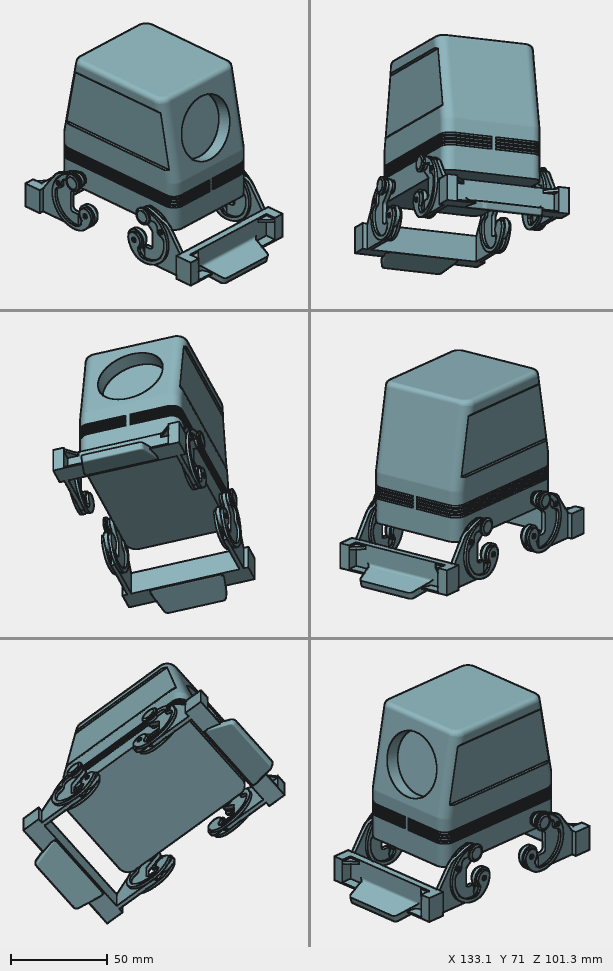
import cadquery as cq
import math

LENGTH = 133.1
HEIGHT = 101.3
PIN_END_Y = 35.5

HOOD_HALF_X = 41.0
HOOD_HALF_Y = 28.0
HOOD_BOTTOM = 26.2
TAPER_START = 54.2
TAPER_ANGLE = 10.8
BREAK_RADIUS = 4.0
CORNER_RADIUS = 5.9
TOP_RADIUS = 2.9

FLAT_DEPTH = 0.8
FLAT_BOTTOM = 61.0
FLAT_TOP = 94.1

GROOVE_COUNT = 4
GROOVE_RADIUS = 0.5
GROOVE_PITCH = 1.9
LOWEST_GROOVE = 40.2
GROOVE_GAP = 2.7

ENTRY_RADIUS = 17.8
ENTRY_CENTER_Z = 75.6
ENTRY_DEPTH = 8.0

LAYER_MIDDLE_Y = 30.9
PLATE_THICKNESS = 2.3
PLATE_CORNER_RADIUS = 2.0
OPENING_TOE_X = -23.7
OPENING_BACK_X = -29.1
OPENING_BOTTOM = 12.8
OPENING_TOP = 24.1
PLATE_SHOULDER = (-39.5, 31.1)
PLATE_SHOULDER_RADIUS = 5.3
HOOK_THICKNESS = 5.2
HOOK_OUTER_FACE = LAYER_MIDDLE_Y + HOOK_THICKNESS / 2
HOOK_CENTER = (-25.2, 19.8)
HOOK_RADIUS = 15.8
HOOK_BAND = 2.1
HOOK_INNER_RADIUS = HOOK_RADIUS - HOOK_BAND
HOOK_OUTER_END = 287.0
HOOK_INNER_START = 172.0
HOOK_INNER_END = 277.0
NECK_OUTER_MIDDLE = (-15.8, 8.4)
NECK_INNER_MIDDLE = (-20.8, 8.5)
NECK_INNER_END = (-20.1, 10.9)
ARM_UNDERSIDE = 31.1
SWELL_LOWER_ARC = ((-37.8, 23.5), (-36.2, 24.5))
SWELL_UPPER_ARC = ((-34.7, 25.3), (-34.0, 27.0))
SWELL_TOP = (-34.0, 28.2)
ARM_CORNER_ARC = ((-33.4, 30.1), (-31.7, ARM_UNDERSIDE))

ROLLER_CENTER = (-17.4, 14.8)
ROLLER_RADIUS = 5.5
ROLLER_CHEEK_RADIUS = 4.3
CHEEK_OUTER_ANGLE = -20.0
CHEEK_INNER_ANGLE = 215.0

PIVOT_CENTER = (-25.0, 32.5)
PLATE_BOSS_RADIUS = 3.9
PLATE_UPPER_TANGENT = 110.0
PLATE_LOWER_TANGENT = -51.0
HOOK_BOSS_RADIUS = 3.5
PIN_RADIUS = 2.7
PIN_HEAD_RADIUS = 4.7
PIN_HEAD_THICKNESS = 1.5
PIN_HEAD_BEVEL = (0.5, 1.2)
RIVET_CENTER = (-36.6, 27.0)
RIVET_RADIUS = 1.3
RIVET_HEIGHT = 0.5
RIVET_BEVEL = 0.4

BAR_OUTER_X = -59.1
BAR_INNER_X = -48.8
BAR_HALF_Y = 34.6
BAR_BOTTOM = 4.4
BAR_TOP = 18.2
POCKET_HALF_Y = 28.7
POCKET_DEPTH = 6.0
POCKET_FLOOR = 0.8
POCKET_FLOOR_Z = BAR_BOTTOM + POCKET_FLOOR
POCKET_WALL_X = BAR_OUTER_X + POCKET_DEPTH
GUSSET_WIDTH = 6.3
GUSSET_BOTTOM = 15.7
GUSSET_TOP = 17.3

HANDLE_ANGLE = 15.0
HANDLE_THICKNESS = 4.1
HANDLE_OVERLAP = 2.7
HANDLE_ROOT_HALF_Y = 20.1
HANDLE_TIP_HALF_Y = 16.6
HANDLE_CORNER_RADIUS = 2.4
HANDLE_ROOT_RADIUS = 1.6
HANDLE_RIM_RADIUS = 0.8

SELECT_MARGIN = 0.1


def polar(center, radius, degrees):
    """Point on a circle in the XZ plane, with the angle measured from +X towards +Z."""
    angle = math.radians(degrees)
    return (center[0] + radius * math.cos(angle), center[1] + radius * math.sin(angle))


def front_plane(y):
    """XZ workplane at the given Y whose extrusions run towards -Y."""
    return cq.Workplane("XZ", origin=(0, y, 0))


def layer(center, radius, thickness):
    """Disc lying across the side plate, centred on the plate thickness."""
    face_y = -LAYER_MIDDLE_Y + thickness / 2
    return front_plane(face_y).center(*center).circle(radius).extrude(thickness)


def box_between(low, high):
    """Box spanning two opposite corners."""
    size = [b - a for a, b in zip(low, high)]
    return cq.Workplane("XY").box(*size, centered=False).translate(low)


def make_hood_block():
    """Upright walls, tapered upper part and rounded edges."""
    top_half_x = HOOD_HALF_X - (HEIGHT - TAPER_START) * math.tan(math.radians(TAPER_ANGLE))
    outline = [
        (-HOOD_HALF_X, HOOD_BOTTOM),
        (HOOD_HALF_X, HOOD_BOTTOM),
        (HOOD_HALF_X, TAPER_START),
        (top_half_x, HEIGHT),
        (-top_half_x, HEIGHT),
        (-HOOD_HALF_X, TAPER_START),
    ]
    block = front_plane(HOOD_HALF_Y).polyline(outline).close().extrude(2 * HOOD_HALF_Y)
    break_edges = cq.selectors.BoxSelector(
        (-LENGTH, -LENGTH, TAPER_START - SELECT_MARGIN),
        (LENGTH, LENGTH, TAPER_START + SELECT_MARGIN),
    )
    block = block.edges("|Y").edges(break_edges).fillet(BREAK_RADIUS)
    block = block.faces("<Y or >Y").edges("not(#Z)").fillet(CORNER_RADIUS)
    return block.faces(">Z").edges().fillet(TOP_RADIUS)


def make_side_flat():
    """Bevelled cutter for the flat on the -Y side of the hood."""
    floor_y = -HOOD_HALF_Y + FLAT_DEPTH
    outline = [
        (-HOOD_HALF_Y, FLAT_BOTTOM),
        (floor_y, FLAT_BOTTOM + FLAT_DEPTH),
        (floor_y, FLAT_TOP - FLAT_DEPTH),
        (-HOOD_HALF_Y, FLAT_TOP),
    ]
    return cq.Workplane("YZ").polyline(outline).close().extrude(HOOD_HALF_X, both=True)


def make_groove(z):
    """Round-bottomed groove around the -Y half of the hood, stopping short at the end faces."""
    start_y = -GROOVE_GAP / 2
    corner_x = HOOD_HALF_X - CORNER_RADIUS
    corner_y = -HOOD_HALF_Y + CORNER_RADIUS
    diagonal = CORNER_RADIUS * math.sqrt(0.5)
    path = (
        cq.Workplane("XY", origin=(0, 0, z))
        .moveTo(-HOOD_HALF_X, start_y)
        .lineTo(-HOOD_HALF_X, corner_y)
        .threePointArc((-corner_x - diagonal, corner_y - diagonal), (-corner_x, -HOOD_HALF_Y))
        .lineTo(corner_x, -HOOD_HALF_Y)
        .threePointArc((corner_x + diagonal, corner_y - diagonal), (HOOD_HALF_X, corner_y))
        .lineTo(HOOD_HALF_X, start_y)
    )
    section = cq.Workplane("XZ", origin=(-HOOD_HALF_X, start_y, z)).circle(GROOVE_RADIUS)
    return section.sweep(path)


def make_cable_entry():
    """Blind round hole square to the +X sloping face."""
    angle = math.radians(TAPER_ANGLE)
    center_x = HOOD_HALF_X - (ENTRY_CENTER_Z - TAPER_START) * math.tan(angle)
    outward = cq.Vector(math.cos(angle), 0, math.sin(angle))
    center = cq.Vector(center_x, 0, ENTRY_CENTER_Z)
    start = center - outward * ENTRY_DEPTH
    return cq.Workplane(cq.Solid.makeCylinder(ENTRY_RADIUS, 2 * ENTRY_DEPTH, start, outward))


def make_hood():
    hood = make_hood_block()
    flat = make_side_flat()
    hood = hood.cut(flat).cut(flat.mirror("XZ"))
    for index in range(GROOVE_COUNT):
        groove = make_groove(LOWEST_GROOVE + index * GROOVE_PITCH)
        hood = hood.cut(groove).cut(groove.mirror("XZ"))
    return hood.cut(make_cable_entry())


def make_plate():
    """Thin side plate from the cross bar to the pivot."""
    outline = [
        (POCKET_WALL_X, BAR_BOTTOM),
        (OPENING_TOE_X, BAR_BOTTOM),
        (OPENING_TOE_X, OPENING_BOTTOM),
        (OPENING_BACK_X, OPENING_BOTTOM),
        (OPENING_BACK_X, OPENING_TOP),
        polar(PIVOT_CENTER, PLATE_BOSS_RADIUS, PLATE_LOWER_TANGENT),
        PIVOT_CENTER,
        polar(PIVOT_CENTER, PLATE_BOSS_RADIUS, PLATE_UPPER_TANGENT),
        PLATE_SHOULDER,
        (BAR_INNER_X, BAR_TOP),
        (POCKET_WALL_X, BAR_TOP),
    ]
    face_y = -LAYER_MIDDLE_Y + PLATE_THICKNESS / 2
    plate = front_plane(face_y).polyline(outline).close().extrude(PLATE_THICKNESS)
    rounded_corners = [
        ((OPENING_BACK_X, OPENING_BOTTOM), PLATE_CORNER_RADIUS),
        ((OPENING_BACK_X, OPENING_TOP), PLATE_CORNER_RADIUS),
        (PLATE_SHOULDER, PLATE_SHOULDER_RADIUS),
    ]
    for (x, z), radius in rounded_corners:
        corner = cq.selectors.NearestToPointSelector((x, -LAYER_MIDDLE_Y, z))
        plate = plate.edges("|Y").edges(corner).fillet(radius)
    return plate.union(layer(PIVOT_CENTER, PLATE_BOSS_RADIUS, PLATE_THICKNESS))


def make_hook():
    """Pair of C-shaped bands, one on each face of the plate, with the roller between their ends."""
    tip_inner = polar(ROLLER_CENTER, ROLLER_CHEEK_RADIUS, CHEEK_INNER_ANGLE)
    outline = (
        front_plane(-LAYER_MIDDLE_Y + HOOK_THICKNESS / 2)
        .moveTo(*polar(HOOK_CENTER, HOOK_RADIUS, 90))
        .threePointArc(
            polar(HOOK_CENTER, HOOK_RADIUS, 180), polar(HOOK_CENTER, HOOK_RADIUS, HOOK_OUTER_END)
        )
        .threePointArc(NECK_OUTER_MIDDLE, polar(ROLLER_CENTER, ROLLER_CHEEK_RADIUS, CHEEK_OUTER_ANGLE))
        .lineTo(*ROLLER_CENTER)
        .lineTo(*tip_inner)
        .lineTo(*NECK_INNER_END)
        .threePointArc(NECK_INNER_MIDDLE, polar(HOOK_CENTER, HOOK_INNER_RADIUS, HOOK_INNER_END))
        .threePointArc(
            polar(HOOK_CENTER, HOOK_INNER_RADIUS, 210),
            polar(HOOK_CENTER, HOOK_INNER_RADIUS, HOOK_INNER_START),
        )
        .threePointArc(*SWELL_LOWER_ARC)
        .threePointArc(*SWELL_UPPER_ARC)
        .lineTo(*SWELL_TOP)
        .threePointArc(*ARM_CORNER_ARC)
        .lineTo(PIVOT_CENTER[0], ARM_UNDERSIDE)
        .close()
    )
    hook = outline.extrude(HOOK_THICKNESS)
    hook = hook.union(layer(PIVOT_CENTER, HOOK_BOSS_RADIUS, HOOK_THICKNESS))
    hook = hook.union(layer(ROLLER_CENTER, ROLLER_CHEEK_RADIUS, HOOK_THICKNESS))
    slot_y = -LAYER_MIDDLE_Y - PLATE_THICKNESS / 2
    slot = box_between((-LENGTH / 2, slot_y, 0), (0, slot_y + PLATE_THICKNESS, HEIGHT))
    return hook.cut(slot).union(layer(ROLLER_CENTER, ROLLER_RADIUS, PLATE_THICKNESS))


def make_rivet(center):
    rivet = front_plane(-HOOK_OUTER_FACE).center(*center).circle(RIVET_RADIUS).extrude(RIVET_HEIGHT)
    return rivet.faces("<Y").chamfer(RIVET_BEVEL)


def make_pin():
    """Pivot pin anchored in the hood wall, with a bevelled head."""
    head_y = PIN_END_Y - PIN_HEAD_THICKNESS
    root_y = HOOD_HALF_Y - PIN_RADIUS
    pin = front_plane(-root_y).center(*PIVOT_CENTER).circle(PIN_RADIUS).extrude(head_y - root_y)
    head = front_plane(-head_y).center(*PIVOT_CENTER).circle(PIN_HEAD_RADIUS)
    head = head.extrude(PIN_HEAD_THICKNESS).faces("<Y").chamfer(*PIN_HEAD_BEVEL)
    return pin.union(head)


def make_lever_side():
    side = make_plate().union(make_hook()).union(make_pin())
    for center in (RIVET_CENTER, ROLLER_CENTER):
        side = side.union(make_rivet(center))
    return side


def make_bar():
    """Cross bar with a pocket open outwards and upwards, and gussets in its corners."""
    bar = box_between((BAR_OUTER_X, -BAR_HALF_Y, BAR_BOTTOM), (BAR_INNER_X, BAR_HALF_Y, BAR_TOP))
    pocket = box_between(
        (BAR_OUTER_X, -POCKET_HALF_Y, POCKET_FLOOR_Z),
        (POCKET_WALL_X, POCKET_HALF_Y, BAR_TOP),
    )
    gusset_outline = [
        (BAR_OUTER_X, -POCKET_HALF_Y),
        (POCKET_WALL_X, -POCKET_HALF_Y),
        (POCKET_WALL_X, -POCKET_HALF_Y + GUSSET_WIDTH),
    ]
    gusset = cq.Workplane("XY", origin=(0, 0, GUSSET_BOTTOM)).polyline(gusset_outline).close()
    gusset = gusset.extrude(GUSSET_TOP - GUSSET_BOTTOM)
    return bar.cut(pocket).union(gusset).union(gusset.mirror("XZ"))


def make_handle():
    """Tapered paddle with a rounded lower rim, tilted to slope down and outwards."""
    angle = math.radians(HANDLE_ANGLE)
    rim_lift = HANDLE_RIM_RADIUS * (math.cos(angle) + math.sin(angle) - 1)
    tip_top_z = HANDLE_THICKNESS * math.cos(angle) - rim_lift
    tip_x = -LENGTH / 2
    wall_distance = (POCKET_WALL_X - tip_x) / math.cos(angle)
    outline = [
        (0, -HANDLE_TIP_HALF_Y),
        (wall_distance, -HANDLE_ROOT_HALF_Y),
        (wall_distance + HANDLE_OVERLAP, -HANDLE_ROOT_HALF_Y),
        (wall_distance + HANDLE_OVERLAP, HANDLE_ROOT_HALF_Y),
        (wall_distance, HANDLE_ROOT_HALF_Y),
        (0, HANDLE_TIP_HALF_Y),
    ]
    handle = cq.Workplane("XY").polyline(outline).close().extrude(-HANDLE_THICKNESS)
    handle = handle.faces("<X").edges("|Z").fillet(HANDLE_CORNER_RADIUS)
    handle = handle.faces("<Z").edges().fillet(HANDLE_RIM_RADIUS)
    handle = handle.rotate((0, 0, 0), (0, 1, 0), -HANDLE_ANGLE)
    return handle.translate((tip_x, 0, tip_top_z))


def make_bar_with_handle():
    """Cross bar joined to the handle, with a rounded blend where the handle meets the pocket wall."""
    bar = make_bar().union(make_handle())
    root_edges = cq.selectors.BoxSelector(
        (POCKET_WALL_X - SELECT_MARGIN, -POCKET_HALF_Y + GUSSET_WIDTH, POCKET_FLOOR_Z + SELECT_MARGIN),
        (POCKET_WALL_X + SELECT_MARGIN, POCKET_HALF_Y - GUSSET_WIDTH, GUSSET_BOTTOM - SELECT_MARGIN),
    )
    return bar.edges(root_edges).fillet(HANDLE_ROOT_RADIUS)


def make_lever():
    side = make_lever_side()
    return make_bar_with_handle().union(side).union(side.mirror("XZ"))


lever = make_lever()
result = make_hood().union(lever).union(lever.mirror("YZ"))